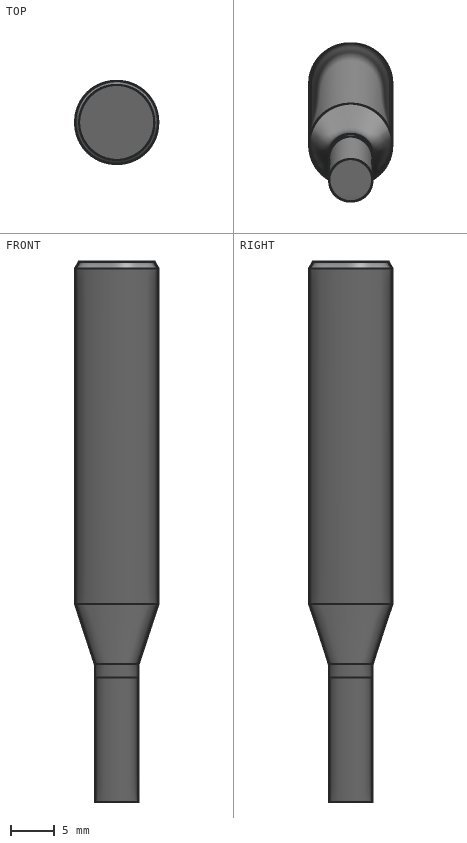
import cadquery as cq

total_length = 61.9
shank_diameter = 9.55
chamfer_width = 0.465
chamfer_height = 0.8
neck_diameter = 5.0
cutter_diameter = 4.95
cutter_length = 14.3
neck_length = 1.55
taper_length = 6.9

shank_radius = shank_diameter / 2
neck_radius = neck_diameter / 2
taper_start = cutter_length + neck_length
taper_end = taper_start + taper_length


def make_shank():
    """Revolved shank: short neck, taper, long cylinder and chamfered end."""
    profile = (
        cq.Workplane("XZ")
        .moveTo(0, cutter_length)
        .lineTo(neck_radius, cutter_length)
        .lineTo(neck_radius, taper_start)
        .lineTo(shank_radius, taper_end)
        .lineTo(shank_radius, total_length - chamfer_height)
        .lineTo(shank_radius - chamfer_width, total_length)
        .lineTo(0, total_length)
        .close()
    )
    return profile.revolve(360, (0, 0, 0), (0, 1, 0))


def make_cutter():
    """Plain cylindrical cutter, butted against the end of the neck."""
    return cq.Workplane("XY").circle(cutter_diameter / 2).extrude(cutter_length)


shank = make_shank()
cutter = make_cutter()

result = cq.Compound.makeCompound([shank.val(), cutter.val()])